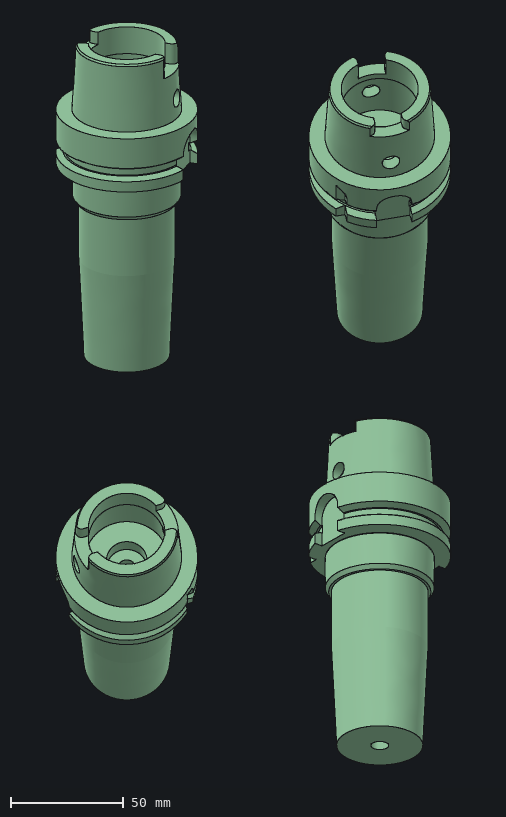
import cadquery as cq

total_height = 152.0
flange_top = 120.0
groove_roof_outer = 105.5
groove_roof = 103.8
groove_bottom = 100.3
groove_bottom_outer = 99.0
flange_bottom = 94.0
collar_bottom = 76.3
nose_taper_top = 48.0

flange_radius = 31.5
groove_rim_radius = 28.5
groove_radius = 27.5
collar_radius = 24.2
sleeve_radius = 21.5
nose_end_radius = 19.2
shank_base_radius = 24.3
shank_top_radius = 22.6
shank_chamfer = (0.6, 0.9)
collar_chamfer = (1.5, 2.0)
collar_top_relief = 0.6

lip_radius = 17.0
lip_depth = 13.0
chamber_radius = 18.5
chamber_floor = 115.5
seat_radius = 9.0
seat_depth = 9.1
through_radius = 4.0

keyway_width = 12.5
keyway_edge_radius = 2.7
keyway_depth_left = 6.0
keyway_depth_right = 9.9

cross_hole_radius = 4.0
cross_hole_height = 129.0

slot_floor_distance = 26.5
slot_width_left = 16.0
slot_width_right = 18.0
slot_top = flange_top - 5.2
notch_offset = 20.0
notch_arch_radius = 6.5
notch_arch_center_height = 108.8


def make_body():
    """Revolve the outer profile about Z."""
    chamfer_r, chamfer_z = collar_chamfer
    tip_r, tip_z = shank_chamfer
    profile = [
        (0, 0),
        (nose_end_radius, 0),
        (sleeve_radius, nose_taper_top),
        (sleeve_radius, collar_bottom),
        (collar_radius - chamfer_r, collar_bottom),
        (collar_radius, collar_bottom + chamfer_z),
        (collar_radius, flange_bottom - collar_top_relief),
        (collar_radius - collar_top_relief, flange_bottom),
        (flange_radius, flange_bottom),
        (flange_radius, groove_bottom_outer),
        (groove_rim_radius, groove_bottom),
        (groove_radius, groove_bottom),
        (groove_radius, groove_roof),
        (groove_rim_radius, groove_roof),
        (flange_radius, groove_roof_outer),
        (flange_radius, flange_top),
        (shank_base_radius, flange_top),
        (shank_top_radius, total_height - tip_z),
        (shank_top_radius - tip_r, total_height),
        (0, total_height),
    ]
    return cq.Workplane("XZ").polyline(profile).close().revolve(360, (0, 0), (0, 1))


def make_bore():
    """Revolve the stepped internal cavity about Z."""
    lip_bottom = total_height - lip_depth
    seat_floor = chamber_floor - seat_depth
    profile = [
        (0, 0),
        (through_radius, 0),
        (through_radius, seat_floor),
        (seat_radius, seat_floor),
        (seat_radius, chamber_floor),
        (chamber_radius, chamber_floor),
        (chamber_radius, lip_bottom),
        (lip_radius, lip_bottom),
        (lip_radius, total_height),
        (0, total_height),
    ]
    return cq.Workplane("XZ").polyline(profile).close().revolve(360, (0, 0), (0, 1))


def make_keyway(side, depth):
    """Radial keyway whose mouth flares out along a rounded edge; side is -1 or 1 along X."""
    half_width = keyway_width / 2
    flare = keyway_edge_radius
    mouth_half = half_width + flare
    mouth_x = (shank_top_radius**2 - mouth_half**2) ** 0.5
    outer_x = flange_radius
    return (
        cq.Workplane("XY", origin=(0, 0, total_height - depth))
        .moveTo(0, -half_width)
        .lineTo(side * (mouth_x - flare), -half_width)
        .radiusArc((side * mouth_x, -mouth_half), side * flare)
        .lineTo(side * outer_x, -mouth_half)
        .lineTo(side * outer_x, mouth_half)
        .lineTo(side * mouth_x, mouth_half)
        .radiusArc((side * (mouth_x - flare), half_width), side * flare)
        .lineTo(0, half_width)
        .close()
        .extrude(depth)
    )


def make_arched_slot(side, floor_distance, center_y, arch_center_height, radius):
    """Slot open at the flange bottom with a round top, cut along X from its flat floor outward."""
    return (
        cq.Workplane("YZ", origin=(side * floor_distance, 0, 0))
        .moveTo(center_y - radius, flange_bottom)
        .lineTo(center_y - radius, arch_center_height)
        .threePointArc(
            (center_y, arch_center_height + radius),
            (center_y + radius, arch_center_height),
        )
        .lineTo(center_y + radius, flange_bottom)
        .close()
        .extrude(side * flange_radius)
    )


def make_gripper_slot(side, width):
    radius = width / 2
    return make_arched_slot(side, slot_floor_distance, 0, slot_top - radius, radius)


def make_orientation_notch():
    """Corner notch on the -X +Y side of the flange."""
    center_y = notch_offset + notch_arch_radius
    return make_arched_slot(-1, notch_offset, center_y, notch_arch_center_height, notch_arch_radius)


def make_cross_hole():
    return (
        cq.Workplane("YZ", origin=(0, 0, cross_hole_height))
        .circle(cross_hole_radius)
        .extrude(flange_radius, both=True)
    )


result = (
    make_body()
    .cut(make_bore())
    .cut(make_keyway(-1, keyway_depth_left))
    .cut(make_keyway(1, keyway_depth_right))
    .cut(make_cross_hole())
    .cut(make_gripper_slot(-1, slot_width_left))
    .cut(make_gripper_slot(1, slot_width_right))
    .cut(make_orientation_notch())
)